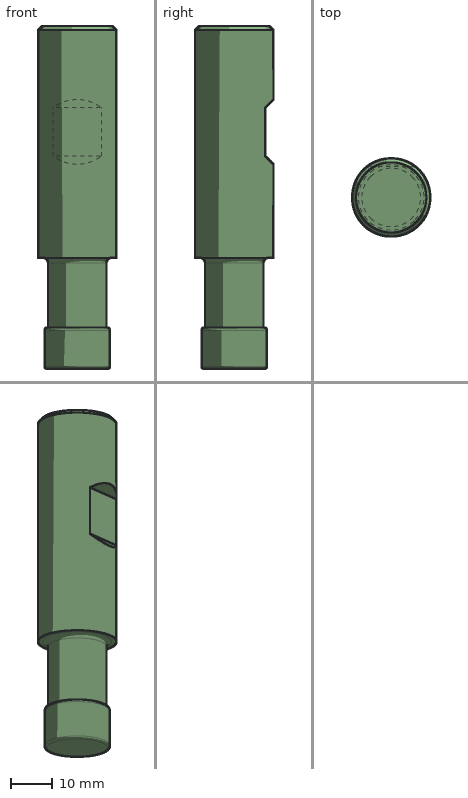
import cadquery as cq

total_length = 83.3
shank_diameter = 19.1
neck_diameter = 14.25
head_diameter = 15.9

head_height = 10.1
shoulder_height = 27.0

shank_chamfer = 1.0
neck_fillet = 1.25
head_top_rounding = 0.75
head_bottom_rounding = 0.6

flat_depth = 2.0
flat_length = 11.75
flat_center_height = 57.6


def make_clamping_flat():
    """Prism that cuts the flat and its two end slopes across the shank."""
    outer_y = shank_diameter / 2
    floor_y = outer_y - flat_depth
    floor_half = flat_length / 2
    mouth_half = floor_half + flat_depth
    return (
        cq.Workplane("YZ")
        .moveTo(floor_y, flat_center_height - floor_half)
        .lineTo(floor_y, flat_center_height + floor_half)
        .lineTo(outer_y, flat_center_height + mouth_half)
        .lineTo(outer_y, flat_center_height - mouth_half)
        .close()
        .extrude(shank_diameter / 2, both=True)
    )


def make_holder():
    """Shank and narrower neck, revolved about Z, with the clamping flat."""
    shank_radius = shank_diameter / 2
    neck_radius = neck_diameter / 2
    profile = (
        cq.Workplane("XZ")
        .moveTo(0, head_height)
        .lineTo(neck_radius, head_height)
        .lineTo(neck_radius, shoulder_height - neck_fillet)
        .radiusArc((neck_radius + neck_fillet, shoulder_height), neck_fillet)
        .lineTo(shank_radius, shoulder_height)
        .lineTo(shank_radius, total_length - shank_chamfer)
        .lineTo(shank_radius - shank_chamfer, total_length)
        .lineTo(0, total_length)
        .close()
    )
    shaft = profile.revolve(360, (0, 0, 0), (0, 1, 0))
    return shaft.cut(make_clamping_flat())


def make_head():
    """Rounded cylindrical head seated against the end of the neck."""
    return (
        cq.Workplane("XY")
        .circle(head_diameter / 2)
        .extrude(head_height)
        .faces(">Z")
        .edges()
        .fillet(head_top_rounding)
        .faces("<Z")
        .edges()
        .fillet(head_bottom_rounding)
    )


holder = make_holder()
head = make_head()

result = cq.Compound.makeCompound([holder.val(), head.val()])